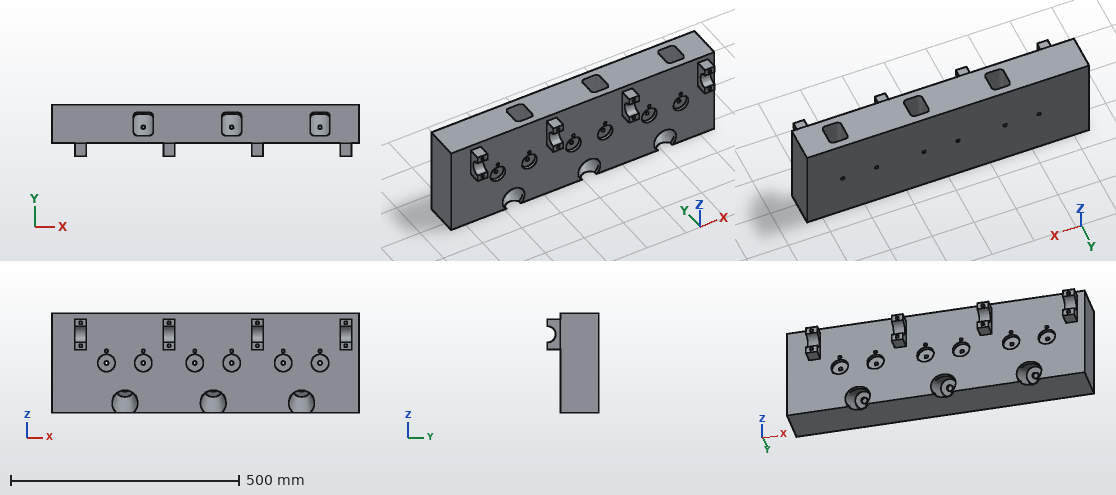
import cadquery as cq
import math

block_length = 673.23
block_height = 218.8
overall_depth = 113.61
clamp_depth = 29.0
block_depth = overall_depth - clamp_depth
through = 2 * block_depth

station_count = 3
station_pitch = 193.7
middle_station_x = 353.6
station_xs = [
    middle_station_x + (i - (station_count - 1) / 2) * station_pitch for i in range(station_count)
]
clamp_xs = [
    middle_station_x + (i - station_count / 2) * station_pitch for i in range(station_count + 1)
]

clamp_width = 25.4
clamp_height = 67.0
clamp_top_gap = 13.0
clamp_z = block_height - clamp_top_gap - clamp_height / 2
saddle_radius = 17.5
saddle_axis_inset = 1.0
clamp_hole_diameter = 7.0
clamp_hole_offset = 25.0
clamp_hole_depth = 20.0

hole_half_spacing = 40.4
hole_z = block_height / 2
hole_diameter = 8.0
counterbore_diameter = 38.0
counterbore_depth = 8.0
pin_hole_diameter = 7.0
pin_hole_rise = 26.4
pin_hole_depth = 15.0

mouth_radius = 28.1
mouth_z = 21.5
mouth_depth = 8.0
outlet_tilt = 30.0
outlet_end_radius = 19.8
outlet_end_y = 58.0
outlet_end_z = 52.0
outlet_pin_diameter = 13.5
outlet_pin_depth = 10.0

pocket_width = 43.5
pocket_depth_y = 51.0
pocket_y = 42.0
pocket_corner_radius = 9.0
pocket_back_lean = 5.0
pocket_floor_angle = 45.0
pocket_floor_y = 35.0
pocket_floor_radius = 28.0
pocket_height = 150.0


def front_hole(x, z, diameter, depth, face_y=0.0):
    """Cylinder bored toward +Y from a face at face_y."""
    bore = cq.Solid.makeCylinder(diameter / 2, depth, cq.Vector(x, face_y, z), cq.Vector(0, 1, 0))
    return cq.Workplane(obj=bore)


def clamp(x):
    """Lug with a half-round saddle along X and a screw hole above and below it."""
    lug = cq.Workplane().box(clamp_width, clamp_depth, clamp_height)
    lug = lug.translate((x, -clamp_depth / 2, clamp_z))
    saddle_start = cq.Vector(x - clamp_width, saddle_axis_inset - clamp_depth, clamp_z)
    saddle = cq.Solid.makeCylinder(saddle_radius, 2 * clamp_width, saddle_start, cq.Vector(1, 0, 0))
    lug = lug.cut(cq.Workplane(obj=saddle))
    for side in (-1, 1):
        screw_z = clamp_z + side * clamp_hole_offset
        lug = lug.cut(front_hole(x, screw_z, clamp_hole_diameter, clamp_hole_depth, -clamp_depth))
    return lug


def mounting_hole(x):
    """Through hole with a front counterbore and a blind pin hole above it."""
    cutter = front_hole(x, hole_z, hole_diameter, through)
    cutter = cutter.union(front_hole(x, hole_z, counterbore_diameter, counterbore_depth))
    return cutter.union(front_hole(x, hole_z + pin_hole_rise, pin_hole_diameter, pin_hole_depth))


def outlet(x):
    """Short round mouth leading to a taper whose tilted flat end has a small blind hole."""
    tilt = math.radians(outlet_tilt)
    forward = cq.Vector(0, -math.cos(tilt), -math.sin(tilt))
    end_center = cq.Vector(x, outlet_end_y, outlet_end_z)
    end_rim = cq.Wire.makeCircle(outlet_end_radius, end_center, forward)
    mouth_center = cq.Vector(x, mouth_depth, mouth_z)
    mouth_rim = cq.Wire.makeCircle(mouth_radius, mouth_center, cq.Vector(0, -1, 0))
    taper = cq.Solid.makeLoft([end_rim, mouth_rim], True)
    pin = cq.Solid.makeCylinder(outlet_pin_diameter / 2, outlet_pin_depth, end_center, forward * -1)
    mouth = front_hole(x, mouth_z, 2 * mouth_radius, mouth_depth)
    return mouth.union(cq.Workplane(obj=taper)).union(cq.Workplane(obj=pin))


def pocket(x):
    """Rounded rectangular pocket with a leaning back wall and a trough floor falling to the back."""
    top = cq.Sketch().rect(pocket_width, pocket_depth_y).vertices().fillet(pocket_corner_radius)
    bottom_depth_y = pocket_depth_y - pocket_back_lean
    bottom = cq.Sketch().rect(pocket_width, bottom_depth_y).vertices().fillet(pocket_corner_radius)
    bottom = bottom.moved(cq.Location(cq.Vector(0, -pocket_back_lean / 2, -pocket_height)))
    body = cq.Workplane(origin=(x, pocket_y, block_height)).placeSketch(top, bottom).loft()
    trough = cq.Workplane("XZ").center(0, pocket_floor_radius).circle(pocket_floor_radius)
    trough = trough.extrude(through, both=True)
    below_floor = cq.Workplane().box(2 * pocket_width, 2 * through, through)
    below_floor = below_floor.translate((0, 0, pocket_floor_radius - through / 2)).cut(trough)
    below_floor = below_floor.rotate((0, 0, 0), (1, 0, 0), -pocket_floor_angle)
    return body.cut(below_floor.translate((x, pocket_floor_y, hole_z)))


result = cq.Workplane().box(block_length, block_depth, block_height, centered=False)
for clamp_x in clamp_xs:
    result = result.union(clamp(clamp_x))
for station_x in station_xs:
    result = result.cut(outlet(station_x))
    result = result.cut(pocket(station_x + hole_half_spacing))
    for side in (-1, 1):
        result = result.cut(mounting_hole(station_x + side * hole_half_spacing))